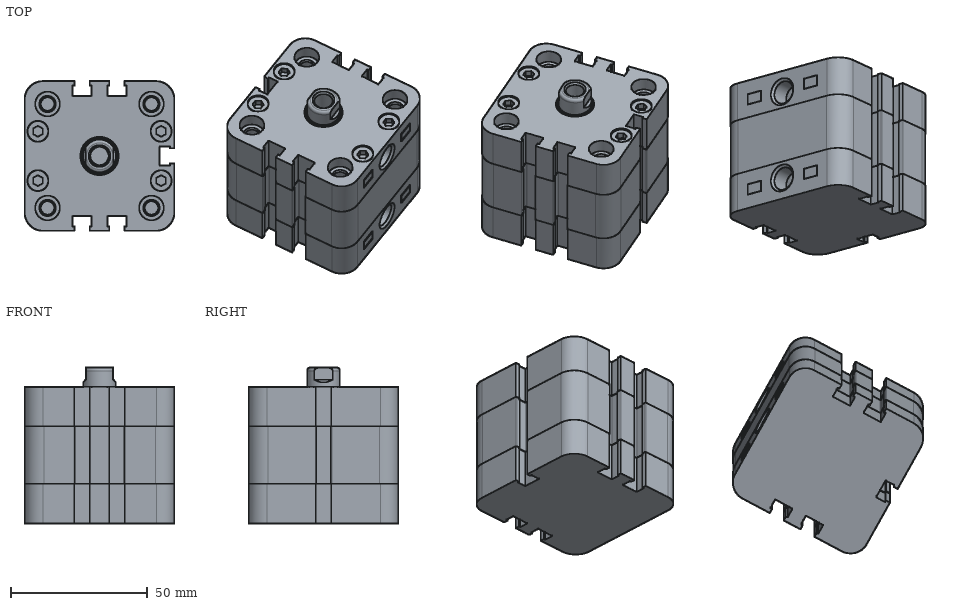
import cadquery as cq
import math

TOTAL_HEIGHT = 57.0
ROD_PROTRUSION = 7.05
CAP_HEIGHT = 14.5
SIDE = 54.8
HALF_SIDE = SIDE / 2
BODY_TOP = TOTAL_HEIGHT - ROD_PROTRUSION
BARREL_TOP = BODY_TOP - CAP_HEIGHT

CAP_CORNER_RADIUS = 6.7
BARREL_CORNER_RADIUS = 6.95

SLOT_OFFSET = 6.4
SLOT_DEPTH = 5.4
SLOT_LIP = 1.7
CAP_SLOT_NECK = 5.8
CAP_SLOT_CAVITY = 7.2
BARREL_SLOT_INSET = 0.15
BARREL_EDGE_RADIUS = 0.2

PORT_DIAMETER = 8.55
PORT_MOUTH_DIAMETER = 10.4
PORT_INSET = 8.1
CORE_DIAMETER = 40.0

LABEL_WIDTH = 6.05
LABEL_HEIGHT = 4.0
LABEL_DEPTH = 0.2
LABEL_OFFSET = 12.95
LABEL_INSET = 7.35

MOUNT_OFFSET = 19.0
MOUNT_COUNTERBORE_DIAMETER = 9.0
MOUNT_COUNTERBORE_DEPTH = 5.0
MOUNT_MOUTH_DIAMETER = 6.0
MOUNT_HOLE_DIAMETER = 4.9
MOUNT_HOLE_DEPTH = 11.4

SCREW_X = 22.5
SCREW_Y = 9.0
SCREW_RECESS_DIAMETER = 7.7
SCREW_HEAD_DIAMETER = 7.5
SCREW_RECESS_DEPTH = 0.55
HEX_ACROSS_FLATS = 3.5
HEX_DEPTH = 2.3

ROD_DIAMETER = 12.0
ROD_EDGE_RADIUS = 1.15
FLAT_WIDTH = 10.05
FLAT_BOTTOM = 52.55
ROD_HOLE_DIAMETER = 6.65
ROD_HOLE_MOUTH_DIAMETER = 8.0
ROD_HOLE_DEPTH = 11.95

GROOVE_OUTER_DIAMETER = 14.0
GROOVE_BOTTOM_DIAMETER = 13.35
GROOVE_INNER_DIAMETER = 12.55
GROOVE_DEPTH = (GROOVE_OUTER_DIAMETER - GROOVE_BOTTOM_DIAMETER) / 2


def square_block(bottom, height, corner_radius):
    """Square block standing on Z = bottom, with rounded vertical corners."""
    block = cq.Workplane("XY", origin=(0, 0, bottom)).rect(SIDE, SIDE).extrude(height)
    return block.edges("|Z").fillet(corner_radius)


def t_slots(bottom, height, inset, corner_radius=0):
    """The five T-slots, their sides moved in by inset; a corner radius rounds the floor corners."""
    neck = CAP_SLOT_NECK / 2 - inset
    cavity = CAP_SLOT_CAVITY / 2 - inset
    lip = HALF_SIDE - SLOT_LIP
    floor = HALF_SIDE - SLOT_DEPTH
    slot = (
        cq.Workplane("XY", origin=(0, 0, bottom))
        .polyline([(-neck, HALF_SIDE), (-neck, lip), (-cavity, lip), (-cavity, floor),
                   (cavity, floor), (cavity, lip), (neck, lip), (neck, HALF_SIDE)])
        .close()
        .extrude(height)
    )
    if corner_radius:
        slot = slot.faces("<Y").edges("|Z").fillet(corner_radius)
    slots = slot.rotate((0, 0, 0), (0, 0, 1), -90)
    for side_angle in (0, 180):
        side_slot = slot.rotate((0, 0, 0), (0, 0, 1), side_angle)
        for x in (-SLOT_OFFSET, SLOT_OFFSET):
            slots = slots.add(side_slot.translate((x, 0, 0)))
    return slots.combine()


def is_slot_mouth(edge):
    """True for an upright edge where a slot neck meets the outer face."""
    center = edge.Center()
    across, outward = sorted((abs(center.x), abs(center.y)))
    return math.isclose(outward, HALF_SIDE) and across < SLOT_OFFSET + CAP_SLOT_NECK


def port(z):
    """Chamfered port on the -X side that stops at the round core."""
    radius = PORT_DIAMETER / 2
    mouth_radius = PORT_MOUTH_DIAMETER / 2
    chamfer = mouth_radius - radius
    bore = (
        cq.Workplane("XY")
        .polyline([(-HALF_SIDE, 0), (-HALF_SIDE, mouth_radius), (-HALF_SIDE + chamfer, radius),
                   (0, radius), (0, 0)])
        .close()
        .revolve(360, (0, 0, 0), (1, 0, 0))
        .translate((0, 0, z))
    )
    core = cq.Workplane("XY").circle(CORE_DIAMETER / 2).extrude(TOTAL_HEIGHT)
    return bore.cut(core)


def label_recesses(z):
    """Shallow rectangles on both sides of a port."""
    return (
        cq.Workplane("YZ", origin=(-HALF_SIDE, 0, z))
        .pushPoints([(-LABEL_OFFSET, 0), (LABEL_OFFSET, 0)])
        .rect(LABEL_WIDTH, LABEL_HEIGHT)
        .extrude(LABEL_DEPTH)
    )


def make_cap(bottom, port_z, label_z):
    """End cap with its T-slots, port and label recesses."""
    cap = square_block(bottom, CAP_HEIGHT, CAP_CORNER_RADIUS)
    cap = cap.cut(t_slots(bottom, CAP_HEIGHT, inset=0))
    return cap.cut(port(port_z)).cut(label_recesses(label_z))


def mount_hole():
    """Stepped blind hole with a chamfered inner mouth, cut from the top face."""
    counterbore = MOUNT_COUNTERBORE_DIAMETER / 2
    mouth = MOUNT_MOUTH_DIAMETER / 2
    hole = MOUNT_HOLE_DIAMETER / 2
    step = BODY_TOP - MOUNT_COUNTERBORE_DEPTH
    floor = BODY_TOP - MOUNT_HOLE_DEPTH
    return (
        cq.Workplane("XZ")
        .polyline([(0, BODY_TOP), (counterbore, BODY_TOP), (counterbore, step), (mouth, step),
                   (hole, step - (mouth - hole)), (hole, floor), (0, floor)])
        .close()
        .revolve(360, (0, 0, 0), (0, 1, 0))
    )


def screw_recess():
    """Recess down to a screw head, with the hexagon socket of the screw."""
    recess = (
        cq.Workplane("XY", origin=(0, 0, BODY_TOP))
        .circle(SCREW_RECESS_DIAMETER / 2)
        .workplane(offset=-SCREW_RECESS_DEPTH)
        .circle(SCREW_HEAD_DIAMETER / 2)
        .loft()
    )
    hexagon_diameter = HEX_ACROSS_FLATS / math.cos(math.pi / 6)
    socket = (
        cq.Workplane("XY", origin=(0, 0, BODY_TOP))
        .polygon(6, hexagon_diameter)
        .extrude(-SCREW_RECESS_DEPTH - HEX_DEPTH)
        .rotate((0, 0, 0), (0, 0, 1), 30)
    )
    return recess.union(socket)


def rod_groove():
    """V-groove that surrounds the rod."""
    return (
        cq.Workplane("XZ")
        .polyline([(GROOVE_INNER_DIAMETER / 2, BODY_TOP), (GROOVE_OUTER_DIAMETER / 2, BODY_TOP),
                   (GROOVE_BOTTOM_DIAMETER / 2, BODY_TOP - GROOVE_DEPTH)])
        .close()
        .revolve(360, (0, 0, 0), (0, 1, 0))
    )


def make_top_cap():
    """Upper cap with the rod hole, mounting holes and screw recesses."""
    cap = make_cap(BARREL_TOP, BODY_TOP - PORT_INSET, BODY_TOP - LABEL_INSET)
    rod_hole = cq.Workplane("XY", origin=(0, 0, BARREL_TOP)).circle(ROD_DIAMETER / 2).extrude(CAP_HEIGHT)
    cap = cap.cut(rod_hole).cut(rod_groove())
    for x_sign in (-1, 1):
        for y_sign in (-1, 1):
            cap = cap.cut(mount_hole().translate((x_sign * MOUNT_OFFSET, y_sign * MOUNT_OFFSET, 0)))
            cap = cap.cut(screw_recess().translate((x_sign * SCREW_X, y_sign * SCREW_Y, 0)))
    return cap


def make_barrel():
    """Middle block with slightly narrower T-slots that have rounded edges."""
    height = BARREL_TOP - CAP_HEIGHT
    barrel = square_block(CAP_HEIGHT, height, BARREL_CORNER_RADIUS)
    barrel = barrel.cut(t_slots(CAP_HEIGHT, height, BARREL_SLOT_INSET, BARREL_EDGE_RADIUS))
    return barrel.edges("|Z").filter(is_slot_mouth).fillet(BARREL_EDGE_RADIUS)


def flat_cut():
    """Material outside the +X wrench flat, above a 45 degree shoulder."""
    outer = ROD_DIAMETER / 2
    flat = FLAT_WIDTH / 2
    return (
        cq.Workplane("XZ")
        .polyline([(flat, TOTAL_HEIGHT), (flat, FLAT_BOTTOM), (outer, FLAT_BOTTOM - (outer - flat)),
                   (outer, TOTAL_HEIGHT)])
        .close()
        .extrude(outer, both=True)
    )


def make_rod():
    """Piston rod end with two wrench flats and a chamfered blind hole."""
    length = TOTAL_HEIGHT - BARREL_TOP
    rod = cq.Workplane("XY", origin=(0, 0, BARREL_TOP)).circle(ROD_DIAMETER / 2).extrude(length)
    rod = rod.faces(">Z").edges().fillet(ROD_EDGE_RADIUS)
    for angle in (0, 180):
        rod = rod.cut(flat_cut().rotate((0, 0, 0), (0, 0, 1), angle))
    chamfer = (ROD_HOLE_MOUTH_DIAMETER - ROD_HOLE_DIAMETER) / 2
    rod = rod.faces(">Z").workplane(origin=(0, 0, TOTAL_HEIGHT)).hole(ROD_HOLE_DIAMETER, ROD_HOLE_DEPTH)
    return rod.faces(">Z").edges("%CIRCLE").edges(cq.selectors.RadiusNthSelector(0)).chamfer(chamfer)


bottom_cap = make_cap(0, PORT_INSET, LABEL_INSET)
barrel = make_barrel()
top_cap = make_top_cap()
rod = make_rod()

result = cq.Compound.makeCompound([bottom_cap.val(), barrel.val(), top_cap.val(), rod.val()])